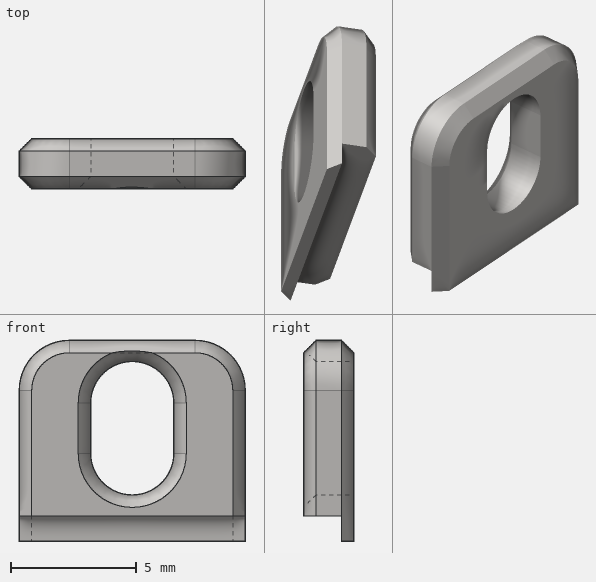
import cadquery as cq

width = 9.0
thickness = 2.0
height = 8.0
corner_radius = 2.0
chamfer = 0.5

step_height = 1.0
lip_thickness = 0.5

slot_width = 3.3
slot_low_center = 3.5
slot_high_center = 5.5


def plate():
    """Plate with rounded top corners, chamfered on all edges but the bottom."""
    body = cq.Workplane("XY").box(width, thickness, height, centered=(True, False, False))
    body = body.edges("|Y and >Z").fillet(corner_radius)
    rim = body.faces("<Y or >Y").edges("not <Z")
    return rim.chamfer(chamfer)


def bottom_step():
    """Block removed below the front of the plate."""
    depth = thickness - lip_thickness
    return cq.Workplane("XY").box(width, depth, step_height, centered=(True, False, False))


def slot():
    """Through slot with a countersunk front rim."""
    center_distance = slot_high_center - slot_low_center
    center_height = (slot_low_center + slot_high_center) / 2
    cutter = (
        cq.Workplane("XZ")
        .center(0, center_height)
        .slot2D(center_distance + slot_width, slot_width, 90)
        .extrude(-thickness)
    )
    rim_width = slot_width + 2 * chamfer
    countersink = (
        cq.Workplane("XZ")
        .center(0, center_height)
        .slot2D(center_distance + rim_width, rim_width, 90)
        .extrude(-chamfer, taper=45)
    )
    return cutter.union(countersink)


result = plate().cut(bottom_step()).cut(slot())